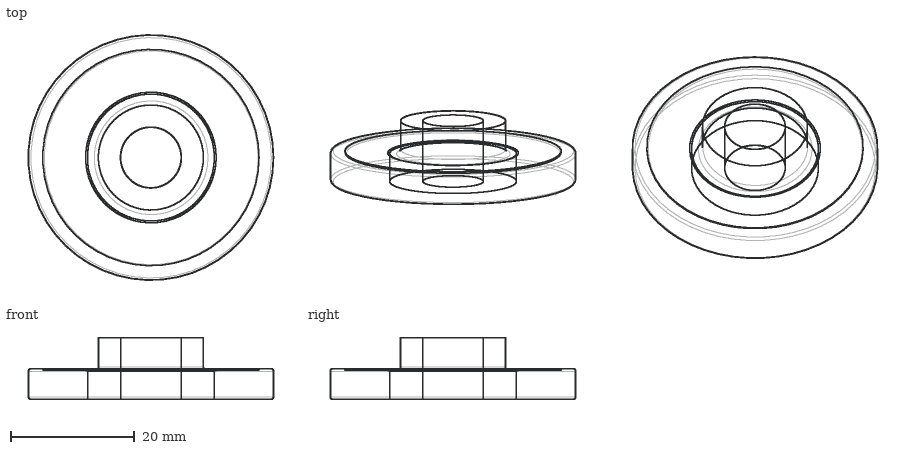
import cadquery as cq

disc_radius = 19.85
disc_thickness = 5.0
disc_edge_fillet = 0.4

recess_depth = 0.3
recess_radius = 17.5
recess_corner_fillet = 0.2
recess_floor_z = disc_thickness - recess_depth

bevel_outer_radius = 10.57
bevel_drop = 0.1

flange_radius = 10.27
flange_top_z = recess_floor_z - bevel_drop
hub_radius = 8.5
hub_top_z = 10.0
hub_root_fillet = 0.7
bore_radius = 4.9


def make_disc():
    """Revolve the ring, with its recess and bevel, about the Z axis."""
    ring = (
        cq.Workplane("XZ")
        .moveTo(flange_radius, 0)
        .lineTo(disc_radius, 0)
        .lineTo(disc_radius, disc_thickness)
        .lineTo(recess_radius, disc_thickness)
        .lineTo(recess_radius, recess_floor_z + recess_corner_fillet)
        .radiusArc((recess_radius - recess_corner_fillet, recess_floor_z), recess_corner_fillet)
        .lineTo(bevel_outer_radius, recess_floor_z)
        .lineTo(flange_radius, flange_top_z)
        .close()
        .revolve(360, (0, 0, 0), (0, 1, 0))
    )
    outer_edges = cq.selectors.RadiusNthSelector(-1)
    return ring.edges("%CIRCLE").edges(outer_edges).fillet(disc_edge_fillet)


def make_hub():
    """Revolve the flange and boss, with the concave fillet between them, about the Z axis."""
    fillet_outer_radius = hub_radius + hub_root_fillet
    fillet_top_z = flange_top_z + hub_root_fillet
    return (
        cq.Workplane("XZ")
        .moveTo(bore_radius, 0)
        .lineTo(flange_radius, 0)
        .lineTo(flange_radius, flange_top_z)
        .lineTo(fillet_outer_radius, flange_top_z)
        .radiusArc((hub_radius, fillet_top_z), hub_root_fillet)
        .lineTo(hub_radius, hub_top_z)
        .lineTo(bore_radius, hub_top_z)
        .close()
        .revolve(360, (0, 0, 0), (0, 1, 0))
    )


disc = make_disc()
hub = make_hub()

result = cq.Compound.makeCompound([disc.val(), hub.val()])